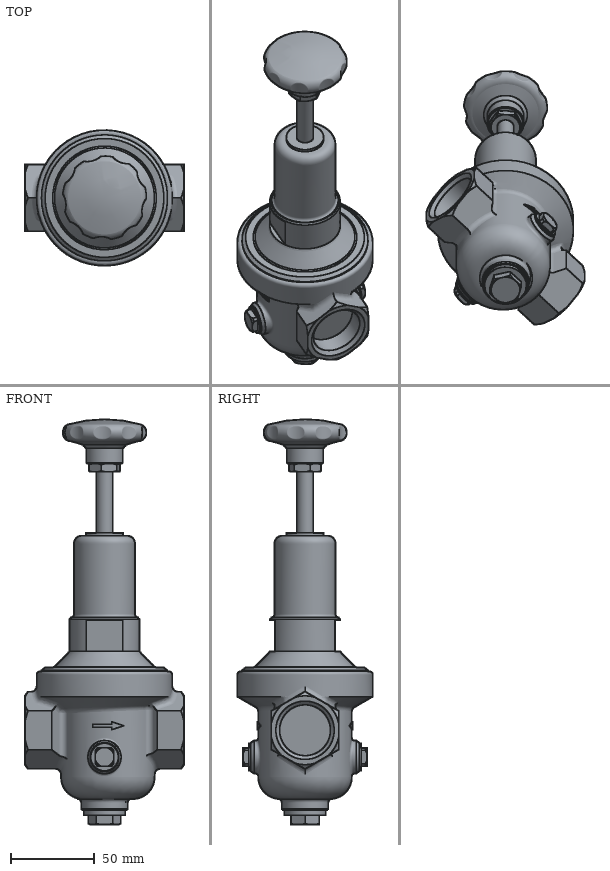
import cadquery as cq
import math


SEAM_ANGLE = 60.0
TOLERANCE = 0.1

BODY_R = 28.0
BODY_OFFSET_X = 2.0
BOWL_BOTTOM_Z = -41.1
BOWL_ROUND_R = 13.3
FLANGE_R = 40.5
FLANGE_BOTTOM_Z = 20.1
FLANGE_TOP_Z = 35.1
FLANGE_ROUND_R = 2.0
UNDERCUT_ANGLE = 30.0
UNDERCUT_FOOT_R = BODY_R - BODY_OFFSET_X
BOTTOM_BOSS_R = 14.0
BOTTOM_BOSS_FACE_Z = -47.6
BOTTOM_BOSS_CHAMFER = 0.8
BOTTOM_BOSS_FLARE = 2.0
BOTTOM_BOSS_EMBED = 0.1

PORT_END_X = 47.5
PORT_ACROSS_FLATS = 40.0
PORT_FACE_R = 20.5
PORT_CHAMFER_LENGTH = 2.2
PORT_CHAMFER_RADIAL = 3.0
PORT_FLAT_END_X = 31.5
PORT_WAIST_X = 22.0
PORT_WAIST_HALF_WIDTH = 7.0
PORT_FILLET = 3.0
BORE_R = 30.29 / 2
BORE_MOUTH_R = 17.4
BORE_DEPTH = 13.0

ARROW_Z = 2.7
ARROW_TAIL_X = -7.0
ARROW_HEAD_X = 4.2
ARROW_TIP_X = 11.5
ARROW_SHAFT_WIDTH = 1.7
ARROW_HEAD_WIDTH = 4.8
ARROW_RELIEF = 0.5

SIDE_PLUG_Z = -16.0
SIDE_BOSS_R = 9.9
SIDE_BOSS_FACE_Y = 32.4
SIDE_BOSS_CHAMFER_LENGTH = 2.0
SIDE_BOSS_CHAMFER_RADIAL = 1.3
SIDE_BOSS_FILLET = 1.5
SIDE_PLUG_COLLAR_R = 16.5 / 2
SIDE_PLUG_COLLAR_Y = 33.4
SIDE_HEAD_TIP_Y = 37.0
SIDE_HEAD_SQUARE = 11.0
SIDE_HEAD_CORNER_R = 6.8
SIDE_HEAD_TIP_R = 5.8

BOTTOM_COLLAR_R = 25.0 / 2
BOTTOM_COLLAR_FACE_Z = -50.8
BOTTOM_HEX_TIP_Z = -56.3
OVERALL_HEIGHT = 241.79
HEX_ACROSS_FLATS = 17.0
HEX_CORNER_CHAMFER = 0.7

COVER_R = 37.6
COVER_STEP = 0.6
COVER_TOP_Z = 37.5
COVER_CHAMFER = 2.2
CONE_FOOT_R = 30.9
CONE_BASE_R = 29.8
CONE_BASE_Z = 38.0
CONE_TOP_R = 43.8 / 2
NECK_R = 42.0 / 2
NECK_BOTTOM_Z = 47.1
NECK_TOP_Z = 67.3
NECK_CHAMFER = 1.2
NECK_FILLET = 2.0
FLAT_TOP_Z = 65.5
NECK_ACROSS_FLATS = 36.0
CAP_R = 36.5 / 2
CAP_TOP_Z = 116.0
CAP_ROUND_R = 4.6
RING_R = 22.3 / 2
RING_TOP_Z = 117.7

SPINDLE_R = 5.0
NUT_BOTTOM_Z = 154.0
HUB_BOTTOM_Z = 159.0
HUB_R = 11.0
HUB_CHAMFER = 0.6
HUB_TOP_Z = 168.0
KNOB_R = 25.0
KNOB_RIM_Z = 177.5
KNOB_RIM_ROUND_R = 5.3
KNOB_NECK_R = 13.0
KNOB_NECK_Z = 170.2
KNOB_DOME_R = 21.8
KNOB_TOP_Z = BOTTOM_HEX_TIP_Z + OVERALL_HEIGHT
KNOB_ANGLE = 27.0
SCALLOP_COUNT = 9
SCALLOP_R = 12.0
SCALLOP_DEPTH = 1.8
SCALLOP_FILLET = 0.6
NUT_ANGLE = 18.4


def revolve_about_z(outline):
    """Turn a closed XZ outline about the spindle axis."""
    turned = outline.close().revolve(360, (0, 0, 0), (0, 1, 0))
    return turned.rotate((0, 0, 0), (0, 0, 1), SEAM_ANGLE)


def cylinder(radius, bottom_z, top_z):
    return cq.Workplane("XY", origin=(0, 0, bottom_z)).circle(radius).extrude(top_z - bottom_z)


def hexagon(across_flats, bottom_z, top_z, angle, chamfer_ends):
    """Hexagonal prism along Z with its corners turned off by a 30 degree cone."""
    corner_r = across_flats / math.sqrt(3)
    height = top_z - bottom_z
    prism = (
        cq.Workplane("XY", origin=(0, 0, bottom_z))
        .transformed(rotate=(0, 0, angle))
        .polygon(6, 2 * corner_r)
        .extrude(height)
    )
    drop = HEX_CORNER_CHAMFER
    radial = drop * math.sqrt(3)
    envelope = cylinder(corner_r, bottom_z, top_z).faces(chamfer_ends).chamfer(drop, radial)
    return prism.intersect(envelope)


def make_body():
    """Diaphragm flange on the spindle axis, with the barrel and bowl slightly off it."""
    undercut_drop = (FLANGE_R - UNDERCUT_FOOT_R) * math.tan(math.radians(UNDERCUT_ANGLE))
    round_inset = FLANGE_ROUND_R * (1 - math.sqrt(0.5))
    flange = revolve_about_z(
        cq.Workplane("XZ")
        .moveTo(0, FLANGE_BOTTOM_Z - undercut_drop)
        .lineTo(UNDERCUT_FOOT_R, FLANGE_BOTTOM_Z - undercut_drop)
        .lineTo(FLANGE_R, FLANGE_BOTTOM_Z)
        .lineTo(FLANGE_R, FLANGE_TOP_Z - FLANGE_ROUND_R)
        .threePointArc(
            (FLANGE_R - round_inset, FLANGE_TOP_Z - round_inset), (FLANGE_R - FLANGE_ROUND_R, FLANGE_TOP_Z)
        )
        .lineTo(0, FLANGE_TOP_Z)
    )
    bowl_flat_r = BODY_R - BOWL_ROUND_R
    arc_mid = BOWL_ROUND_R * math.sqrt(0.5)
    round_top_z = BOWL_BOTTOM_Z + BOWL_ROUND_R
    barrel = revolve_about_z(
        cq.Workplane("XZ")
        .moveTo(0, BOWL_BOTTOM_Z)
        .lineTo(bowl_flat_r, BOWL_BOTTOM_Z)
        .threePointArc((bowl_flat_r + arc_mid, round_top_z - arc_mid), (BODY_R, round_top_z))
        .lineTo(BODY_R, FLANGE_BOTTOM_Z)
        .lineTo(0, FLANGE_BOTTOM_Z)
    )
    return flange.union(barrel.translate((BODY_OFFSET_X, 0, 0)))


def make_port_hexagon():
    """Hexagon running through both ports, corner up, waisted next to the barrel."""
    corner_r = PORT_ACROSS_FLATS / math.sqrt(3)
    half_flats = PORT_ACROSS_FLATS / 2
    prism = (
        cq.Workplane("YZ", origin=(-PORT_END_X, 0, 0))
        .transformed(rotate=(0, 0, 90))
        .polygon(6, 2 * corner_r)
        .extrude(2 * PORT_END_X)
    )
    envelope = (
        cq.Workplane("YZ", origin=(-PORT_END_X, 0, 0))
        .circle(PORT_FACE_R + PORT_CHAMFER_RADIAL)
        .extrude(2 * PORT_END_X)
        .faces("<X or >X")
        .chamfer(PORT_CHAMFER_LENGTH, PORT_CHAMFER_RADIAL)
    )
    back_right = [
        (PORT_WAIST_X, PORT_WAIST_HALF_WIDTH),
        (PORT_FLAT_END_X, half_flats),
        (PORT_END_X, half_flats),
    ]
    plan = (
        back_right
        + [(x, -y) for x, y in reversed(back_right)]
        + [(-x, -y) for x, y in back_right]
        + [(-x, y) for x, y in reversed(back_right)]
    )
    waist = cq.Workplane("XY").polyline(plan).close().extrude(2 * corner_r, both=True)
    return prism.intersect(envelope).intersect(waist)


def cut_bores(part):
    """Blind bore with a 45 degree mouth in each port."""
    mouth_depth = BORE_MOUTH_R - BORE_R
    for side in (-1, 1):
        face = cq.Workplane("YZ", origin=(side * PORT_END_X, 0, 0))
        bore = face.circle(BORE_R).extrude(-side * BORE_DEPTH)
        mouth_center = cq.Vector(side * PORT_END_X, 0, 0)
        inward = cq.Vector(-side, 0, 0)
        mouth = cq.Solid.makeCone(BORE_MOUTH_R, BORE_R, mouth_depth, mouth_center, inward)
        part = part.cut(bore).cut(cq.Workplane(mouth))
    return part


def is_port_junction(edge):
    """True for the edges where the ports, the barrel and the flange undercut meet."""
    box = edge.BoundingBox()
    if edge.geomType() == "LINE":
        upright = box.xmax - box.xmin < TOLERANCE and box.zmax - box.zmin > BODY_R / 2
        at_waist = PORT_WAIST_X < abs(box.xmin) < BODY_R and box.zmax < FLANGE_BOTTOM_Z
        return upright and at_waist
    inside_flange = max(abs(box.xmin), abs(box.xmax)) < FLANGE_R + TOLERANCE
    return inside_flange and edge.geomType() != "CIRCLE"


def blend_ports(part):
    """Cast fillet between the ports and the body."""
    edges = [edge for edge in part.edges().vals() if is_port_junction(edge)]
    return part.newObject(edges).fillet(PORT_FILLET)


def make_side_boss():
    """Chamfered boss on the -Y side of the barrel."""
    root_y = BODY_R / 2
    return (
        cq.Workplane("XZ", origin=(0, -root_y, SIDE_PLUG_Z))
        .circle(SIDE_BOSS_R)
        .extrude(SIDE_BOSS_FACE_Y - root_y)
        .faces("<Y")
        .chamfer(SIDE_BOSS_CHAMFER_LENGTH, SIDE_BOSS_CHAMFER_RADIAL)
    )


def mirror_to_back(shape):
    return shape.mirror("XZ")


def is_side_boss_root(edge):
    """True for the curves where the side bosses leave the barrel."""
    box = edge.BoundingBox()
    within_boss = max(abs(box.xmin), abs(box.xmax)) < SIDE_BOSS_R + TOLERANCE
    below_ports = box.zmax < SIDE_PLUG_Z + SIDE_BOSS_R + TOLERANCE
    on_barrel = BODY_R / 2 < abs(edge.Center().y) < BODY_R + TOLERANCE
    return within_boss and below_ports and on_barrel and edge.geomType() != "LINE"


def make_side_head():
    """Collar and square head screwed into the boss on the -Y side."""
    base = cq.Workplane("XZ", origin=(0, -BODY_R, SIDE_PLUG_Z))
    collar = base.circle(SIDE_PLUG_COLLAR_R).extrude(SIDE_PLUG_COLLAR_Y - BODY_R)
    length = SIDE_HEAD_TIP_Y - BODY_R
    square = base.rect(SIDE_HEAD_SQUARE, SIDE_HEAD_SQUARE).extrude(length)
    turned_corners = (
        base.circle(SIDE_HEAD_CORNER_R)
        .extrude(length)
        .faces("<Y")
        .chamfer(SIDE_HEAD_CORNER_R - SIDE_HEAD_TIP_R)
    )
    return collar.union(square.intersect(turned_corners))


def add_side_plugs(part):
    """Filleted bosses with their plugs on the front and back of the barrel."""
    boss = make_side_boss()
    part = part.union(boss).union(mirror_to_back(boss))
    roots = [edge for edge in part.edges().vals() if is_side_boss_root(edge)]
    part = part.newObject(roots).fillet(SIDE_BOSS_FILLET)
    head = make_side_head()
    return part.union(head).union(mirror_to_back(head))


def make_flow_arrows():
    """Raised arrows pointing along +X on the front and back of the barrel."""
    half_shaft = ARROW_SHAFT_WIDTH / 2
    half_head = ARROW_HEAD_WIDTH / 2
    arrow_prism = (
        cq.Workplane("XZ")
        .moveTo(ARROW_TAIL_X, ARROW_Z + half_shaft)
        .lineTo(ARROW_HEAD_X, ARROW_Z + half_shaft)
        .lineTo(ARROW_HEAD_X, ARROW_Z + half_head)
        .lineTo(ARROW_TIP_X, ARROW_Z)
        .lineTo(ARROW_HEAD_X, ARROW_Z - half_head)
        .lineTo(ARROW_HEAD_X, ARROW_Z - half_shaft)
        .lineTo(ARROW_TAIL_X, ARROW_Z - half_shaft)
        .close()
        .extrude(BODY_R + ARROW_RELIEF, both=True)
    )
    skin = cylinder(BODY_R + ARROW_RELIEF, ARROW_Z - half_head, ARROW_Z + half_head)
    core = cylinder(BODY_R / 2, ARROW_Z - half_head, ARROW_Z + half_head)
    return arrow_prism.intersect(skin.cut(core).translate((BODY_OFFSET_X, 0, 0)))


def make_bottom_plug():
    """Flared boss under the bowl with a hexagon-headed plug."""
    flare_top_r = BOTTOM_BOSS_R + BOTTOM_BOSS_FLARE
    flare_mid = BOTTOM_BOSS_FLARE * (1 - math.sqrt(0.5))
    boss_top_z = BOWL_BOTTOM_Z + BOTTOM_BOSS_EMBED
    flare_bottom_z = boss_top_z - BOTTOM_BOSS_FLARE
    boss = revolve_about_z(
        cq.Workplane("XZ")
        .moveTo(0, BOTTOM_BOSS_FACE_Z)
        .lineTo(BOTTOM_BOSS_R - BOTTOM_BOSS_CHAMFER, BOTTOM_BOSS_FACE_Z)
        .lineTo(BOTTOM_BOSS_R, BOTTOM_BOSS_FACE_Z + BOTTOM_BOSS_CHAMFER)
        .lineTo(BOTTOM_BOSS_R, flare_bottom_z)
        .threePointArc((BOTTOM_BOSS_R + flare_mid, boss_top_z - flare_mid), (flare_top_r, boss_top_z))
        .lineTo(0, boss_top_z)
    )
    collar = cylinder(BOTTOM_COLLAR_R, BOTTOM_COLLAR_FACE_Z, BOTTOM_BOSS_FACE_Z)
    head = hexagon(HEX_ACROSS_FLATS, BOTTOM_HEX_TIP_Z, BOTTOM_COLLAR_FACE_Z, 0, "<Z")
    return boss.union(collar).union(head)


def make_bonnet():
    """Cover, cone, wrench neck and spring cap, with two wrench flats facing Y."""
    cone_top_z = CONE_BASE_Z + CONE_BASE_R - CONE_TOP_R
    cap_foot_z = NECK_TOP_Z + NECK_FILLET
    fillet_mid = NECK_FILLET * (1 - math.sqrt(0.5))
    cap_arc_mid = CAP_ROUND_R * (1 - math.sqrt(0.5))
    neck = revolve_about_z(
        cq.Workplane("XZ")
        .moveTo(0, FLANGE_TOP_Z)
        .lineTo(COVER_R, FLANGE_TOP_Z)
        .lineTo(COVER_R, FLANGE_TOP_Z + COVER_STEP)
        .lineTo(COVER_R - COVER_CHAMFER, COVER_TOP_Z)
        .lineTo(CONE_FOOT_R, COVER_TOP_Z)
        .lineTo(CONE_BASE_R, CONE_BASE_Z)
        .lineTo(CONE_TOP_R, cone_top_z)
        .lineTo(NECK_R, NECK_BOTTOM_Z)
        .lineTo(NECK_R, NECK_TOP_Z - NECK_CHAMFER)
        .lineTo(NECK_R - NECK_CHAMFER, NECK_TOP_Z)
        .lineTo(CAP_R + NECK_FILLET, NECK_TOP_Z)
        .threePointArc((CAP_R + fillet_mid, NECK_TOP_Z + fillet_mid), (CAP_R, cap_foot_z))
        .lineTo(CAP_R, CAP_TOP_Z - CAP_ROUND_R)
        .threePointArc(
            (CAP_R - cap_arc_mid, CAP_TOP_Z - cap_arc_mid), (CAP_R - CAP_ROUND_R, CAP_TOP_Z)
        )
        .lineTo(0, CAP_TOP_Z)
    )
    flat_height = FLAT_TOP_Z - NECK_BOTTOM_Z
    for side in (-1, 1):
        slab = cq.Workplane("XY").box(2 * NECK_R, NECK_R, flat_height, centered=(True, True, False))
        slab_y = side * (NECK_ACROSS_FLATS + NECK_R) / 2
        neck = neck.cut(slab.translate((0, slab_y, NECK_BOTTOM_Z)))
    return neck.union(cylinder(RING_R, CAP_TOP_Z, RING_TOP_Z))


def make_knob():
    """Domed handwheel with a hub and evenly spaced finger scallops."""
    rim_center_r = KNOB_R - KNOB_RIM_ROUND_R
    dome_edge_z = KNOB_RIM_Z + math.sqrt(KNOB_RIM_ROUND_R**2 - (KNOB_DOME_R - rim_center_r) ** 2)
    dome_rise = KNOB_TOP_Z - dome_edge_z
    dome_sphere_r = (KNOB_DOME_R**2 + dome_rise**2) / (2 * dome_rise)
    dome_mid_r = KNOB_DOME_R / 2
    dome_mid_z = KNOB_TOP_Z - dome_sphere_r + math.sqrt(dome_sphere_r**2 - dome_mid_r**2)
    wheel = revolve_about_z(
        cq.Workplane("XZ")
        .moveTo(0, HUB_BOTTOM_Z)
        .lineTo(HUB_R - HUB_CHAMFER, HUB_BOTTOM_Z)
        .lineTo(HUB_R, HUB_BOTTOM_Z + HUB_CHAMFER)
        .lineTo(HUB_R, HUB_TOP_Z)
        .lineTo(KNOB_NECK_R, KNOB_NECK_Z)
        .lineTo(rim_center_r, KNOB_RIM_Z - KNOB_RIM_ROUND_R)
        .threePointArc((KNOB_R, KNOB_RIM_Z), (KNOB_DOME_R, dome_edge_z))
        .threePointArc((dome_mid_r, dome_mid_z), (0, KNOB_TOP_Z))
    )
    scallop_axis_r = KNOB_R + SCALLOP_R - SCALLOP_DEPTH
    scallops = (
        cq.Workplane("XY", origin=(0, 0, HUB_BOTTOM_Z))
        .polarArray(scallop_axis_r, KNOB_ANGLE, 360, SCALLOP_COUNT)
        .circle(SCALLOP_R)
        .extrude(KNOB_TOP_Z - HUB_BOTTOM_Z)
    )
    knob = wheel.cut(scallops)
    rims = [edge for edge in knob.edges().vals() if edge.geomType() == "BSPLINE"]
    return knob.newObject(rims).fillet(SCALLOP_FILLET)


def make_spindle():
    """Bare spindle with the lock nut under the knob."""
    spindle = cylinder(SPINDLE_R, RING_TOP_Z, NUT_BOTTOM_Z)
    nut = hexagon(HEX_ACROSS_FLATS, NUT_BOTTOM_Z, HUB_BOTTOM_Z, NUT_ANGLE, "<Z or >Z")
    return spindle.union(nut)


body = blend_ports(make_body().union(make_port_hexagon()))
body = body.union(make_flow_arrows())
body = cut_bores(add_side_plugs(body))
result = (
    body.union(make_bottom_plug())
    .union(make_bonnet())
    .union(make_spindle())
    .union(make_knob())
)